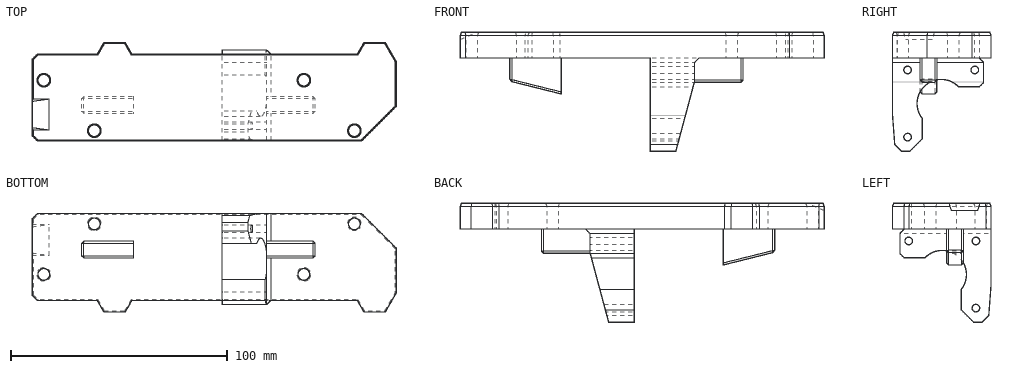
import cadquery as cq
import math

PLATE_LENGTH = 168.0
PLATE_DEPTH = 40.2
PLATE_THICKNESS = 12.0
LEFT_CORNER_CUT = 2.4
RIGHT_CORNER_CUT = 16.0

TAB_TOP_Y = 45.5
TAB_BASE_WIDTH = 16.0
TAB_FLANK_ANGLE = 60.0
LEFT_TAB_X = 30.0
RIGHT_TAB_X = 150.0

TOP_BAND_HEIGHT = 1.5
TOP_BAND_INSET = 0.5

HOLE_DIAMETER = 5.3
HOLE_LEFT_X = 5.35
HOLE_FRONT_Y = 4.8
HOLE_PAIR_SHIFT = 23.3
HOLE_PAIR_PITCH = 120.0

NOTCH_LENGTH = 7.8
NOTCH_DEPTH = 3.4
NOTCH_FRONT_Y = 5.1
NOTCH_BACK_Y = 19.4
NOTCH_SIDE_ANGLE = 18.0

BRACKET_LEFT_X = 87.6
BRACKET_WIDTH = 20.5
BRACKET_BOTTOM_Z = -42.95
BRACKET_FLANK_TOP_Z = -11.0
BRACKET_FLANK_ANGLE = 15.0
BRACKET_FOOT = 2.0
MOTOR_HOLE_PITCH = 31.0
MOTOR_HOLE_DIAMETER = 3.4
MOTOR_CENTER_Y = 22.5
MOTOR_CENTER_Z = -20.9
MOTOR_BOSS_RADIUS = 11.1
WING_BACK_Y = 42.1
WING_BOTTOM_Z = -13.2
WING_CORNER_CUT = 2.0
LEG_INNER_Y = 13.8
LEG_TAPER_TOP_Z = -26.5
LEG_TAPER = 1.0
LEG_FRONT_CUT = 3.1
LEG_BACK_CUT = 5.8

HOOK_FRONT_Y = 12.8
HOOK_WIDTH = 7.7
HOOK_CHAMFER = 0.95
LEFT_HOOK_X = 22.85
LEFT_HOOK_LENGTH = 23.85
LEFT_HOOK_DEPTH = 10.6
LEFT_HOOK_ANGLE = 14.0
RIGHT_HOOK_END_X = 130.6
RIGHT_HOOK_DEPTH = 11.1


def tangent(degrees):
    return math.tan(math.radians(degrees))


def plate_outline(base_z):
    tab_run = (TAB_TOP_Y - PLATE_DEPTH) / tangent(TAB_FLANK_ANGLE)
    right_end_drop = (PLATE_LENGTH - RIGHT_TAB_X - TAB_BASE_WIDTH) * tangent(TAB_FLANK_ANGLE)

    def tab_top(start_x):
        return [
            (start_x + TAB_BASE_WIDTH - tab_run, TAB_TOP_Y),
            (start_x + tab_run, TAB_TOP_Y),
            (start_x, PLATE_DEPTH),
        ]

    points = [
        (LEFT_CORNER_CUT, 0),
        (PLATE_LENGTH - RIGHT_CORNER_CUT, 0),
        (PLATE_LENGTH, RIGHT_CORNER_CUT),
        (PLATE_LENGTH, PLATE_DEPTH - right_end_drop),
        *tab_top(RIGHT_TAB_X),
        (LEFT_TAB_X + TAB_BASE_WIDTH, PLATE_DEPTH),
        *tab_top(LEFT_TAB_X),
        (LEFT_CORNER_CUT, PLATE_DEPTH),
        (0, PLATE_DEPTH - LEFT_CORNER_CUT),
        (0, LEFT_CORNER_CUT),
    ]
    return cq.Workplane("XY", origin=(0, 0, base_z)).polyline(points).close()


def make_plate():
    band_base_z = PLATE_THICKNESS - TOP_BAND_HEIGHT
    band_angle = math.degrees(math.atan(TOP_BAND_INSET / TOP_BAND_HEIGHT))
    body = plate_outline(0).extrude(band_base_z)
    band = plate_outline(band_base_z).extrude(TOP_BAND_HEIGHT, taper=band_angle)
    return body.union(band)


def plate_holes():
    left_pair = [
        (HOLE_LEFT_X, HOLE_FRONT_Y + HOLE_PAIR_SHIFT),
        (HOLE_LEFT_X + HOLE_PAIR_SHIFT, HOLE_FRONT_Y),
    ]
    right_pair = [(x + HOLE_PAIR_PITCH, y) for x, y in left_pair]
    radius = HOLE_DIAMETER / 2
    profile = [
        (0, 0),
        (radius, 0),
        (radius, PLATE_THICKNESS - TOP_BAND_HEIGHT),
        (radius + TOP_BAND_INSET, PLATE_THICKNESS),
        (0, PLATE_THICKNESS),
    ]
    hole = cq.Workplane("XZ").polyline(profile).close().revolve(360, (0, 0), (0, 1))
    holes = cq.Workplane("XY")
    for x, y in left_pair + right_pair:
        holes = holes.add(hole.translate((x, y, 0)))
    return holes.combine()


def end_notch():
    """Ramp rising from the left end to the top face, between two outward-leaning sides."""
    floor_z = PLATE_THICKNESS - NOTCH_DEPTH
    side_run = NOTCH_DEPTH * tangent(NOTCH_SIDE_ANGLE)
    ramp = (
        cq.Workplane("XZ")
        .polyline([(0, floor_z), (NOTCH_LENGTH, PLATE_THICKNESS), (0, PLATE_THICKNESS)])
        .close()
        .extrude(-PLATE_DEPTH)
    )
    sides = (
        cq.Workplane("YZ")
        .polyline([
            (NOTCH_FRONT_Y, PLATE_THICKNESS),
            (NOTCH_FRONT_Y + side_run, floor_z),
            (NOTCH_BACK_Y - side_run, floor_z),
            (NOTCH_BACK_Y, PLATE_THICKNESS),
        ])
        .close()
        .extrude(NOTCH_LENGTH)
    )
    return ramp.intersect(sides)


def bracket_wall():
    """L-shaped wall seen along X, with a round clearance for the motor boss in its corner."""
    wing_rise = WING_BOTTOM_Z - MOTOR_CENTER_Z
    leg_offset = MOTOR_CENTER_Y - LEG_INNER_Y
    arc_wing_y = MOTOR_CENTER_Y + math.sqrt(MOTOR_BOSS_RADIUS**2 - wing_rise**2)
    arc_leg_z = MOTOR_CENTER_Z - math.sqrt(MOTOR_BOSS_RADIUS**2 - leg_offset**2)
    arc_mid = MOTOR_BOSS_RADIUS * math.sqrt(0.5)
    wing_top_run = WING_BACK_Y - PLATE_DEPTH
    return (
        cq.Workplane("YZ", origin=(BRACKET_LEFT_X, 0, 0))
        .moveTo(0, 0)
        .lineTo(PLATE_DEPTH, 0)
        .lineTo(WING_BACK_Y, -wing_top_run)
        .lineTo(WING_BACK_Y, WING_BOTTOM_Z + WING_CORNER_CUT)
        .lineTo(WING_BACK_Y - WING_CORNER_CUT, WING_BOTTOM_Z)
        .lineTo(arc_wing_y, WING_BOTTOM_Z)
        .threePointArc((MOTOR_CENTER_Y - arc_mid, MOTOR_CENTER_Z + arc_mid), (LEG_INNER_Y, arc_leg_z))
        .lineTo(LEG_INNER_Y, BRACKET_BOTTOM_Z + LEG_BACK_CUT)
        .lineTo(LEG_INNER_Y - LEG_BACK_CUT, BRACKET_BOTTOM_Z)
        .lineTo(LEG_TAPER + LEG_FRONT_CUT, BRACKET_BOTTOM_Z)
        .lineTo(LEG_TAPER, BRACKET_BOTTOM_Z + LEG_FRONT_CUT)
        .lineTo(0, LEG_TAPER_TOP_Z)
        .close()
        .extrude(BRACKET_WIDTH + BRACKET_FOOT)
    )


def bracket_side_limit():
    """Front outline of the bracket: sloped lower flank and a sloped foot under the plate."""
    right_x = BRACKET_LEFT_X + BRACKET_WIDTH
    flank_run = (BRACKET_FLANK_TOP_Z - BRACKET_BOTTOM_Z) * tangent(BRACKET_FLANK_ANGLE)
    return (
        cq.Workplane("XZ")
        .polyline([
            (BRACKET_LEFT_X, 0),
            (right_x + BRACKET_FOOT, 0),
            (right_x, -BRACKET_FOOT),
            (right_x, BRACKET_FLANK_TOP_Z),
            (right_x - flank_run, BRACKET_BOTTOM_Z),
            (BRACKET_LEFT_X, BRACKET_BOTTOM_Z),
        ])
        .close()
        .extrude(-WING_BACK_Y)
    )


def motor_holes():
    half_pitch = MOTOR_HOLE_PITCH / 2
    front_y = MOTOR_CENTER_Y - half_pitch
    back_y = MOTOR_CENTER_Y + half_pitch
    upper_z = MOTOR_CENTER_Z + half_pitch
    lower_z = MOTOR_CENTER_Z - half_pitch
    return (
        cq.Workplane("YZ", origin=(BRACKET_LEFT_X, 0, 0))
        .pushPoints([(front_y, upper_z), (back_y, upper_z), (front_y, lower_z)])
        .circle(MOTOR_HOLE_DIAMETER / 2)
        .extrude(BRACKET_WIDTH + BRACKET_FOOT)
    )


def hook_body(points):
    return (
        cq.Workplane("XZ", origin=(0, HOOK_FRONT_Y, 0))
        .polyline(points)
        .close()
        .extrude(-HOOK_WIDTH)
    )


def left_hook():
    """Hook with a sloped underside, bevelled around its left end and its underside."""
    back_x = LEFT_HOOK_X + LEFT_HOOK_LENGTH
    tip_z = -LEFT_HOOK_DEPTH - LEFT_HOOK_LENGTH * tangent(LEFT_HOOK_ANGLE)
    body = hook_body([(LEFT_HOOK_X, 0), (back_x, 0), (back_x, tip_z), (LEFT_HOOK_X, -LEFT_HOOK_DEPTH)])
    end_and_underside = "(<X or (not (|X or |Y or |Z))) and (not >X) and (not >Z)"
    return body.edges(end_and_underside).chamfer(HOOK_CHAMFER)


def right_hook():
    """Rectangular hook behind the bracket, bevelled around its right end and its underside."""
    start_x = BRACKET_LEFT_X + BRACKET_WIDTH
    body = hook_body([
        (start_x, 0),
        (RIGHT_HOOK_END_X, 0),
        (RIGHT_HOOK_END_X, -RIGHT_HOOK_DEPTH),
        (start_x, -RIGHT_HOOK_DEPTH),
    ])
    return body.edges("(>X or <Z) and (not >Z) and (not <X)").chamfer(HOOK_CHAMFER)


bracket = bracket_wall().intersect(bracket_side_limit())
plate = make_plate().cut(plate_holes()).cut(end_notch())
result = plate.union(bracket).union(left_hook()).union(right_hook()).cut(motor_holes())